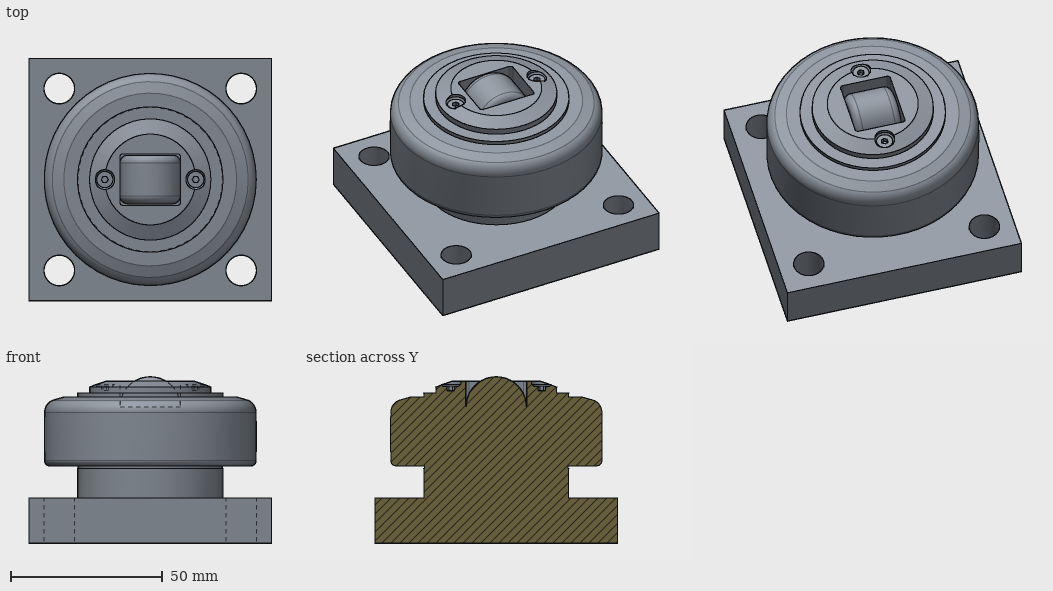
import cadquery as cq
import math

plate_side = 80.0
plate_thickness = 15.0
mount_hole_diameter = 10.0
mount_hole_offset = 30.0

hub_diameter = 48.0
hub_top = 49.6
neck_diameter = 47.6
neck_bottom = 24.75

ring_diameter = 70.0
ring_bottom = 25.5
ring_top = 48.3
ring_top_flat_diameter = 57.0
ring_shoulder_diameter = 64.6
ring_shoulder_height = 47.2
ring_crown_top = 43.2
ring_bottom_fillet = 1.8
crown_radius = 500.0

cap_diameter = 40.0
cap_top_diameter = 30.0
cap_cone_bottom = 51.6
cap_top = 53.5

roller_top = 55.0
roller_radius = 10.0
roller_length = 16.0
roller_fillet = 2.5
roller_axis_height = roller_top - roller_radius
pocket_length_x = 20.0
pocket_length_y = 17.0
pocket_corner_radius = 1.0
pocket_floor = roller_axis_height

screw_offset = 15.0
screw_hole_diameter = 6.5
screw_head_diameter = 5.35
screw_head_top = 51.9
screw_seat_depth = (screw_hole_diameter - screw_head_diameter) / 2
hexagon_sides = 6
screw_socket_flats = 2.0
screw_socket_depth = 1.5


def cylinder(diameter, bottom, top):
    return cq.Workplane("XY").workplane(offset=bottom).circle(diameter / 2).extrude(top - bottom)


def crown_edge(middle_radius, half_width):
    """Radius of a crowned surface at half_width from its middle."""
    return middle_radius - crown_radius + math.sqrt(crown_radius**2 - half_width**2)


def make_plate():
    plate = cq.Workplane("XY").box(plate_side, plate_side, plate_thickness, centered=(True, True, False))
    spacing = 2 * mount_hole_offset
    hole_centers = plate.faces(">Z").workplane().rect(spacing, spacing, forConstruction=True).vertices()
    return hole_centers.hole(mount_hole_diameter)


def make_ring():
    radius = ring_diameter / 2
    crown_bottom = ring_bottom + ring_bottom_fillet
    crown_middle = (crown_bottom + ring_crown_top) / 2
    half_width = (ring_crown_top - crown_bottom) / 2
    edge_radius = crown_edge(radius, half_width)
    fillet_reach = ring_bottom_fillet * math.sqrt(0.5)
    fillet_center = (edge_radius - ring_bottom_fillet, crown_bottom)
    profile = (
        cq.Workplane("XZ")
        .moveTo(0, ring_bottom)
        .lineTo(fillet_center[0], ring_bottom)
        .threePointArc(
            (fillet_center[0] + fillet_reach, fillet_center[1] - fillet_reach), (edge_radius, crown_bottom)
        )
        .threePointArc((radius, crown_middle), (edge_radius, ring_crown_top))
        .tangentArcPoint((ring_shoulder_diameter / 2, ring_shoulder_height), relative=False)
        .lineTo(ring_top_flat_diameter / 2, ring_top)
        .lineTo(0, ring_top)
        .close()
    )
    return profile.revolve(360, (0, 0), (0, 1))


def make_cap():
    rim = cylinder(cap_diameter, hub_top, cap_cone_bottom)
    cone = (
        cq.Workplane("XY")
        .workplane(offset=cap_cone_bottom)
        .circle(cap_diameter / 2)
        .workplane(offset=cap_top - cap_cone_bottom)
        .circle(cap_top_diameter / 2)
        .loft()
    )
    return rim.union(cone)


def make_pocket():
    return (
        cq.Workplane("XY")
        .workplane(offset=pocket_floor)
        .rect(pocket_length_x, pocket_length_y)
        .extrude(roller_top - pocket_floor)
        .edges("|Z")
        .fillet(pocket_corner_radius)
    )


def make_roller():
    half_length = roller_length / 2
    shoulder = half_length - roller_fillet
    shoulder_radius = crown_edge(roller_radius, shoulder)
    profile = (
        cq.Workplane("YZ")
        .moveTo(-half_length, 0)
        .lineTo(-half_length, shoulder_radius - roller_fillet)
        .radiusArc((-shoulder, shoulder_radius), roller_fillet)
        .threePointArc((0, roller_radius), (shoulder, shoulder_radius))
        .radiusArc((half_length, shoulder_radius - roller_fillet), roller_fillet)
        .lineTo(half_length, 0)
        .close()
    )
    return profile.revolve(360, (0, 0), (1, 0)).translate((0, 0, roller_axis_height))


def make_screw_cut(x):
    """Material to remove over one screw: bore, conical seat down to the head, and hex socket."""
    seat_top = screw_head_top + screw_seat_depth
    seat = (
        cq.Workplane("XY", origin=(x, 0, screw_head_top))
        .circle(screw_head_diameter / 2)
        .workplane(offset=screw_seat_depth)
        .circle(screw_hole_diameter / 2)
        .loft()
    )
    bore = cylinder(screw_hole_diameter, seat_top, cap_top).translate((x, 0, 0))
    socket_diameter = screw_socket_flats / math.cos(math.pi / hexagon_sides)
    socket = (
        cq.Workplane("XY", origin=(x, 0, screw_head_top))
        .polygon(hexagon_sides, socket_diameter)
        .extrude(-screw_socket_depth)
    )
    return seat.union(bore).union(socket)


result = make_plate()
result = result.union(cylinder(hub_diameter, plate_thickness, neck_bottom))
result = result.union(cylinder(neck_diameter, neck_bottom, ring_bottom))
result = result.union(make_ring())
result = result.union(cylinder(hub_diameter, ring_top, hub_top))
result = result.union(make_cap())
result = result.cut(make_pocket())
result = result.union(make_roller())
for side in (-1, 1):
    result = result.cut(make_screw_cut(side * screw_offset))